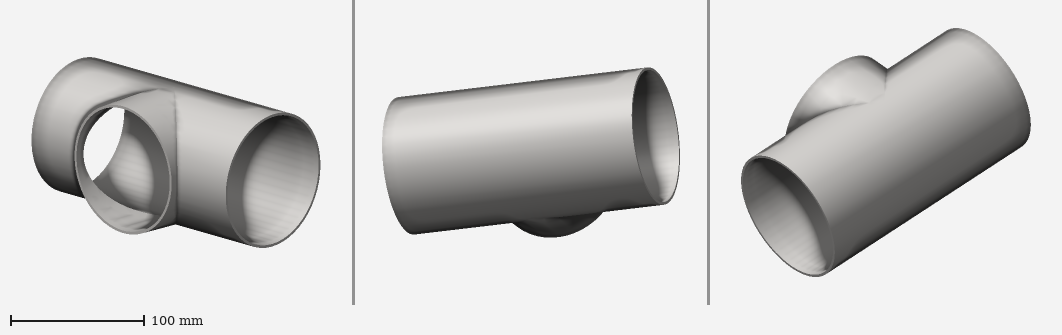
import cadquery as cq
import math

run_length = 200.0
run_radius = 52.0
wall = 2.0
branch_reach = 58.0
mouth_radius = 50.0


def run_cylinder(radius):
    """Solid cylinder along X, centred on the origin."""
    return cq.Workplane("YZ").circle(radius).extrude(run_length / 2, both=True)


def branch_cone(sphere_radius, end_radius):
    """Solid cone towards -Y, tangent to a sphere inscribed in the run."""
    mouth_distance = math.hypot(end_radius, branch_reach)
    taper = math.asin(sphere_radius / mouth_distance) - math.atan2(end_radius, branch_reach)
    tangent_y = -sphere_radius * math.sin(taper)
    tangent_radius = sphere_radius * math.cos(taper)
    return (
        cq.Workplane("XY")
        .moveTo(0, tangent_y)
        .lineTo(tangent_radius, tangent_y)
        .lineTo(end_radius, -branch_reach)
        .lineTo(0, -branch_reach)
        .close()
        .revolve(360, (0, 0, 0), (0, 1, 0))
    )


def tee(radius, end_radius):
    """Solid run and branch joined together."""
    return run_cylinder(radius).union(branch_cone(radius, end_radius))


outside = tee(run_radius, mouth_radius)
bore = tee(run_radius - wall, mouth_radius - wall)
result = outside.cut(bore)